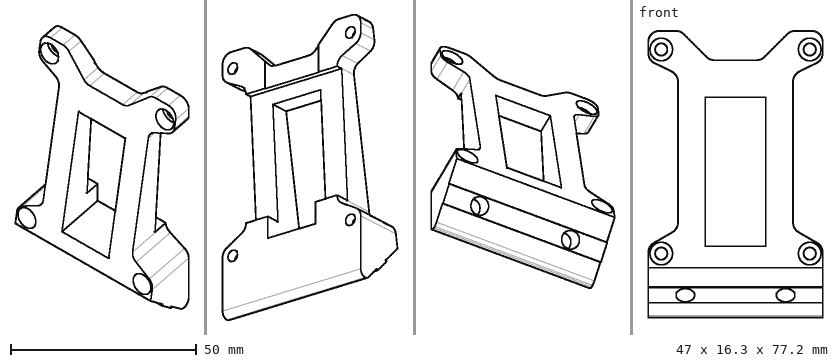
import cadquery as cq
import math

height = 77.2
width = 47.0
depth = 16.3
half_width = width / 2
lean_angle = math.radians(10)
apex_z = depth - 2.85
top_depth = depth - (height - apex_z) * math.tan(lean_angle)
base_offset = depth - apex_z
toe_radius = 2.0

strut_half_width = 15.5
notch_z = 69.3
notch_half_width = 6.95
upper_arm_root_z = 65.4
lower_arm_tip_z = 19.2
lower_arm_root_z = lower_arm_tip_z + (half_width - strut_half_width) * math.tan(math.radians(30))
outline_radius = 3.0

window_width = 16.2
window_bottom_z = lower_arm_tip_z
window_top_z = 59.3

relief_bottom_z = 25.6
relief_top_z = 63.4
relief_bottom_depth = 4.55
relief_top_depth = 2.0

recess_width = 18.3
recess_depth = 0.2

rib_bottom_z = 4.3
rib_top_z = 8.3
rib_height = 0.5
base_hole_spacing = 27.0
base_hole_diameter = 5.0
base_hole_depth = 7.7

mount_spacing_x = 40.0
mount_lower_z = 17.2
mount_upper_z = 72.15
mount_diameter = 3.25
counterbore_diameter = 6.1
counterbore_floor = 3.0


def side_prism(points):
    """Extrude a closed (depth, z) outline across the full width."""
    return (
        cq.Workplane("YZ")
        .polyline([(-d, z) for d, z in points])
        .close()
        .extrude(half_width, both=True)
    )


def side_body():
    body = side_prism([(0, -base_offset), (depth, apex_z), (top_depth, height), (0, height)])
    return body.edges("<Z").fillet(toe_radius)


def front_outline():
    right_edge = [
        (half_width, 0),
        (half_width, lower_arm_tip_z),
        (strut_half_width, lower_arm_root_z),
        (strut_half_width, upper_arm_root_z),
        (half_width, notch_z),
        (half_width, height),
        (notch_half_width + height - notch_z, height),
        (notch_half_width, notch_z),
    ]
    left_edge = [(-x, z) for x, z in reversed(right_edge)]
    plate = cq.Workplane("XZ").polyline(right_edge + left_edge).close().extrude(depth)
    above_base = cq.selectors.BoxSelector(
        (-width, -2 * depth, lower_arm_tip_z / 2), (width, depth, 2 * height)
    )
    return plate.edges("|Y").edges(above_base).fillet(outline_radius)


def window():
    window_height = window_top_z - window_bottom_z
    return cq.Workplane("XY").box(window_width, 2 * depth, window_height).translate(
        (0, 0, (window_top_z + window_bottom_z) / 2)
    )


def back_relief():
    return side_prism([
        (0, relief_bottom_z),
        (relief_bottom_depth, relief_bottom_z),
        (relief_top_depth, relief_top_z),
        (0, relief_top_z),
    ])


def back_recess():
    return cq.Workplane("XY", origin=(0, 0, relief_top_z)).rect(recess_width, 2 * recess_depth).extrude(
        height - relief_top_z
    )


def base_rib():
    step = rib_height / math.sqrt(2)
    return side_prism([
        (rib_bottom_z + base_offset, rib_bottom_z),
        (rib_bottom_z + base_offset + step, rib_bottom_z - step),
        (rib_top_z + base_offset + step, rib_top_z - step),
        (rib_top_z + base_offset, rib_top_z),
    ])


def base_holes():
    rib_middle_z = (rib_bottom_z + rib_top_z) / 2
    step = rib_height / math.sqrt(2)
    rib_face = cq.Plane(
        origin=(0, -(rib_middle_z + base_offset + step), rib_middle_z - step),
        xDir=(1, 0, 0),
        normal=(0, 1, 1),
    )
    return (
        cq.Workplane(rib_face)
        .rarray(base_hole_spacing, 0.8, 2, 1)
        .circle(base_hole_diameter / 2)
        .extrude(base_hole_depth)
    )


def mount_holes():
    centers = [
        (side * mount_spacing_x / 2, z)
        for side in (-1, 1)
        for z in (mount_lower_z, mount_upper_z)
    ]
    holes = cq.Workplane("XZ").pushPoints(centers).circle(mount_diameter / 2).extrude(depth)
    counterbores = (
        cq.Workplane("XZ", origin=(0, -counterbore_floor, 0))
        .pushPoints(centers)
        .circle(counterbore_diameter / 2)
        .extrude(depth)
    )
    return holes.union(counterbores)


result = (
    side_body()
    .intersect(front_outline())
    .cut(back_relief())
    .cut(back_recess())
    .cut(window())
    .union(base_rib())
    .cut(base_holes())
    .cut(mount_holes())
)